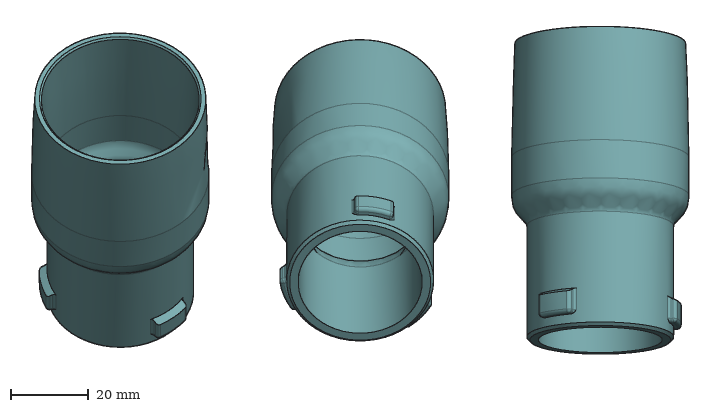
import cadquery as cq
import math

length = 78.0

neck_z = 29.95
band_z = 37.9
band_top_z = 48.0

sharp_pull = 2.65
soft_pull = 5.45

spigot_radius = 18.95
band_diameter = 45.8
band_radius = band_diameter / 2
rim_radius = 22.1
spigot_chamfer = 0.8

spigot_bore = 16.0
band_bore = 19.5
rim_bore = 20.35
rim_chamfer = 0.5

lug_angles = (90, 210, 330)
lug_radius = 20.9
lug_width = 10.15
lug_bottom_z = 3.2
lug_shoulder_z = 9.0
lug_top_z = 10.0
lug_edge_round = 1.0
lug_root_fillet = 0.8

TOLERANCE = 0.001


def sleeve_solid(low_radius, high_radius, end_radius, low_pull, high_pull):
    """Solid of revolution: cylinder, S-shaped flare, straight band, gently curved end.

    The pulls say how far the flare runs on along each cylinder before it turns away.
    """
    flare = [
        (low_radius, neck_z + low_pull),
        (high_radius, band_z - high_pull),
        (high_radius, band_z),
    ]
    profile = (
        cq.Workplane("XZ")
        .lineTo(low_radius, 0)
        .lineTo(low_radius, neck_z)
        .bezier(flare, includeCurrent=True)
        .lineTo(high_radius, band_top_z)
        .tangentArcPoint((end_radius, length), relative=False)
        .lineTo(0, length)
        .close()
    )
    return profile.revolve(360, (0, 0, 0), (0, 1, 0))


def upright_edges(solid, radius):
    """Edges parallel to Z that stand at the given radius on a lug flank."""
    found = []
    for edge in solid.edges("|Z").vals():
        middle = edge.Center()
        on_radius = abs(math.hypot(middle.x, middle.y) - radius) < TOLERANCE
        on_flank = any(
            abs(abs(middle.y * math.cos(a) - middle.x * math.sin(a)) - lug_width / 2) < TOLERANCE
            for a in map(math.radians, lug_angles)
        )
        if on_radius and on_flank:
            found.append(edge)
    return found


def lug_ring():
    """Disc carrying the lugs; its core lies inside the spigot, so only the lugs stand out."""
    height = lug_top_z - lug_bottom_z
    base = cq.Workplane("XY").workplane(offset=lug_bottom_z)
    core = base.circle(spigot_radius).extrude(height)
    rim = base.circle(lug_radius).extrude(height)
    ring = core
    for angle in lug_angles:
        bar = base.rect(2 * lug_radius, lug_width, centered=(False, True)).extrude(height)
        ring = ring.union(bar.intersect(rim).rotate((0, 0, 0), (0, 0, 1), angle))

    ring = ring.newObject(upright_edges(ring, spigot_radius)).fillet(lug_root_fillet)
    ring = ring.newObject(upright_edges(ring, lug_radius)).fillet(lug_edge_round)
    ring = ring.faces("<Z").edges().fillet(lug_edge_round)

    envelope = (
        cq.Workplane("XZ")
        .moveTo(0, lug_bottom_z)
        .lineTo(lug_radius, lug_bottom_z)
        .lineTo(lug_radius, lug_shoulder_z)
        .lineTo(spigot_radius, lug_top_z)
        .lineTo(0, lug_top_z)
        .close()
        .revolve(360, (0, 0, 0), (0, 1, 0))
    )
    return ring.intersect(envelope)


body = sleeve_solid(spigot_radius, band_radius, rim_radius, sharp_pull, soft_pull)
body = body.faces("<Z").chamfer(spigot_chamfer)
body = body.union(lug_ring())

bore = sleeve_solid(spigot_bore, band_bore, rim_bore, soft_pull, sharp_pull)
body = body.cut(bore)

inner_rim = body.faces(">Z").edges(cq.selectors.RadiusNthSelector(0))
result = inner_rim.chamfer(rim_chamfer)